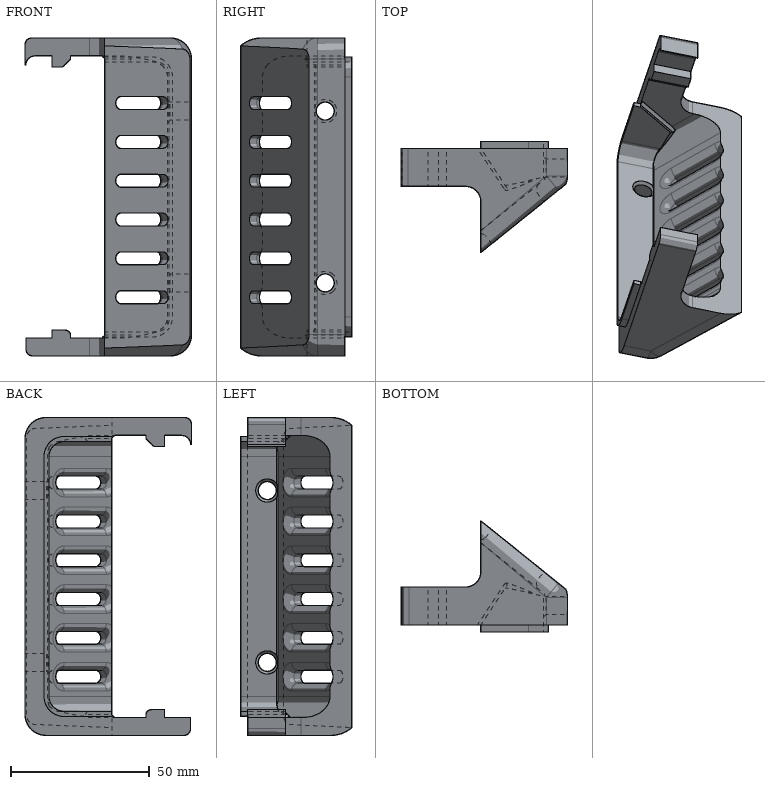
import cadquery as cq
import math

LENGTH = 60.0
HEIGHT = 114.5
WALL = 6.5
MARGIN = 11.5

ARM_DEPTH = 13.7
WEB_X = 28.8
ARM_ROOT_RADIUS = 5.5
ARM_TIP_RADIUS = 2.5
OUTER_RADIUS = 7.7
INNER_RADIUS = 7.6

SLOPE_TIP_Y = -39.7
SLOPE_ANGLE = 40.0
FLAT_TIP_Y = -37.6
FLAT_ANGLE = 38.8
POCKET_TIP_Y = -29.7

TIP_LIP = 0.3
TIP_LIP_RADIUS = 3.3
HOOK_START = 9.7
HOOK_END = 16.5
UPPER_HOOK = 4.0
UPPER_HOOK_CHAMFER = 2.9
LOWER_HOOK = 2.9
LOWER_HOOK_RADIUS = 2.1

LINER_PROUD = 2.5
LINER_GAP = 0.3
LINER_INSET = 2.2
LINER_KNEE_X = 37.6
LINER_KNEE_Y = -13.4
LINER_FRONT_Y = -10.4
LINER_FOOT = 1.0

SCREW_Y = -7.1
SCREW_Z = 30.9
SCREW_DIAMETER = 6.4
SCREW_SINK_DIAMETER = 8.4

SLOT_COUNT = 6
SLOT_PITCH = 14.0
SLOT_CENTER_Z = -1.1
SLOT_WIDTH = 4.6
SLOT_FIRST_X = 32.8
SLOT_LAST_X = 51.5
SLOT_ROUND = 2.9

TOP = HEIGHT / 2
INNER_TOP = TOP - WALL
INNER_X = LENGTH - WALL


def line_y(tip_y, angle, x):
    """Y at x of a plan line that crosses WEB_X at tip_y."""
    return tip_y + (x - WEB_X) * math.tan(math.radians(angle))


def along_slope(angle):
    """Selector for edges parallel to a plan line at the given angle."""
    radians = math.radians(angle)
    return cq.ParallelDirSelector(cq.Vector(math.cos(radians), math.sin(radians), 0))


def behind_line(tip_y, angle, x_start, x_end, y_back, half_height):
    """Prism holding everything from a slanted plan line back to y_back."""
    outline = [
        (x_start, line_y(tip_y, angle, x_start)),
        (x_end, line_y(tip_y, angle, x_end)),
        (x_end, y_back),
        (x_start, y_back),
    ]
    return cq.Workplane("XY").polyline(outline).close().extrude(half_height, both=True)


def end_rounded_block(x_start, x_end, half_height, radius, y_front, y_back):
    """Block along Y whose two +X edges are rounded."""
    return (
        cq.Workplane("XY")
        .box(x_end - x_start, y_back - y_front, 2 * half_height, centered=(False, False, True))
        .translate((x_start, y_front, 0))
        .edges("|Y and >X")
        .fillet(radius)
    )


def make_web():
    """Slanted web with the end wall and short floors, hollowed by the rounded pocket."""
    web = behind_line(SLOPE_TIP_Y, SLOPE_ANGLE, WEB_X, LENGTH, 0, TOP)
    slope_edges = web.edges(along_slope(SLOPE_ANGLE))
    end_edges = web.faces(">X").edges("|Y or <Y")
    web = slope_edges.add(end_edges).fillet(OUTER_RADIUS)
    web = web.intersect(behind_line(FLAT_TIP_Y, FLAT_ANGLE, 0, LENGTH + MARGIN, MARGIN, HEIGHT))

    pocket = behind_line(POCKET_TIP_Y, FLAT_ANGLE, WEB_X - MARGIN, LENGTH, MARGIN, INNER_TOP)
    pocket = pocket.edges(along_slope(FLAT_ANGLE)).fillet(INNER_RADIUS)
    pocket = pocket.intersect(
        end_rounded_block(WEB_X - MARGIN, INNER_X, INNER_TOP, INNER_RADIUS, SLOPE_TIP_Y, MARGIN)
    )
    return web.cut(pocket)


def make_upper_arm():
    """Upper arm with its tip lip and chamfered hook."""
    hook_z = INNER_TOP - UPPER_HOOK
    return (
        cq.Workplane("XZ")
        .moveTo(WEB_X, TOP)
        .lineTo(ARM_TIP_RADIUS, TOP)
        .radiusArc((0, TOP - ARM_TIP_RADIUS), -ARM_TIP_RADIUS)
        .lineTo(0, INNER_TOP - TIP_LIP_RADIUS)
        .lineTo(TIP_LIP, INNER_TOP - TIP_LIP_RADIUS)
        .radiusArc((TIP_LIP + TIP_LIP_RADIUS, INNER_TOP), TIP_LIP_RADIUS)
        .lineTo(HOOK_START, INNER_TOP)
        .lineTo(HOOK_START, hook_z)
        .lineTo(HOOK_END - UPPER_HOOK_CHAMFER, hook_z)
        .lineTo(HOOK_END, hook_z + UPPER_HOOK_CHAMFER)
        .lineTo(HOOK_END, INNER_TOP)
        .lineTo(WEB_X, INNER_TOP)
        .close()
        .extrude(ARM_DEPTH)
    )


def make_lower_arm():
    """Lower arm with its rounded hook; its tip has no lip."""
    hook_z = LOWER_HOOK - INNER_TOP
    return (
        cq.Workplane("XZ")
        .moveTo(WEB_X, -TOP)
        .lineTo(TIP_LIP + ARM_TIP_RADIUS, -TOP)
        .radiusArc((TIP_LIP, ARM_TIP_RADIUS - TOP), ARM_TIP_RADIUS)
        .lineTo(TIP_LIP, -INNER_TOP)
        .lineTo(HOOK_START, -INNER_TOP)
        .lineTo(HOOK_START, hook_z)
        .lineTo(HOOK_END - LOWER_HOOK_RADIUS, hook_z)
        .radiusArc((HOOK_END, hook_z - LOWER_HOOK_RADIUS), LOWER_HOOK_RADIUS)
        .lineTo(HOOK_END, -INNER_TOP)
        .lineTo(WEB_X, -INNER_TOP)
        .close()
        .extrude(ARM_DEPTH)
    )


def make_arm_root(z_bottom):
    """Concave fillet between the front of an arm and the free edge of the web."""
    return (
        cq.Workplane("XY", origin=(0, 0, z_bottom))
        .moveTo(WEB_X, -ARM_DEPTH)
        .lineTo(WEB_X - ARM_ROOT_RADIUS, -ARM_DEPTH)
        .radiusArc((WEB_X, -ARM_DEPTH - ARM_ROOT_RADIUS), ARM_ROOT_RADIUS)
        .close()
        .extrude(WALL)
    )


def tapered_prism(outline, spread):
    """Prism on the lower floor, spread outward at its base and tapering back at 45 degrees."""
    base = cq.Workplane("XY", origin=(0, 0, -INNER_TOP)).polyline(outline).close()
    return base.offset2D(spread, "intersection").extrude(spread, taper=45)


def make_liner_foot():
    """Chamfers at the lower floor: full depth along the front edge, low along the oblique edge."""
    back = [(INNER_X, LINER_PROUD), (WEB_X, LINER_PROUD), (WEB_X, 0)]
    front_edge = [(LINER_KNEE_X, LINER_KNEE_Y), (INNER_X, LINER_FRONT_Y)]

    knee_share = FLAT_TIP_Y / LINER_KNEE_Y
    far_x = WEB_X + knee_share * (LINER_KNEE_X - WEB_X)
    oblique = back + [(far_x, FLAT_TIP_Y), (far_x + LENGTH, FLAT_TIP_Y)]
    oblique_side = cq.Workplane("XY", origin=(0, 0, -INNER_TOP)).polyline(oblique).close()
    oblique_side = oblique_side.extrude(LINER_INSET).union(tapered_prism(oblique, LINER_FOOT))

    seat = end_rounded_block(WEB_X - MARGIN, INNER_X, INNER_TOP, INNER_RADIUS, SLOPE_TIP_Y, 0)
    return tapered_prism(back + front_edge, LINER_INSET).intersect(oblique_side).intersect(seat)


def make_liner():
    """U-shaped band lining the pocket, with chamfers along its front edges."""
    inner_x = INNER_X - LINER_INSET
    plan = [
        (WEB_X, LINER_PROUD),
        (WEB_X, 0),
        (LINER_KNEE_X, LINER_KNEE_Y),
        (inner_x, LINER_FRONT_Y),
        (INNER_X, LINER_FRONT_Y - LINER_INSET),
        (INNER_X, LINER_PROUD),
    ]
    seated = end_rounded_block(WEB_X, INNER_X, INNER_TOP, INNER_RADIUS, SLOPE_TIP_Y, 0)
    rim = end_rounded_block(
        WEB_X, INNER_X - LINER_GAP, INNER_TOP - LINER_GAP, INNER_RADIUS - LINER_GAP,
        LINER_FRONT_Y, LINER_PROUD,
    )
    opening = end_rounded_block(
        WEB_X - MARGIN, inner_x, INNER_TOP - LINER_INSET, INNER_RADIUS - LINER_INSET,
        SLOPE_TIP_Y, MARGIN,
    )
    foot = make_liner_foot()
    band = cq.Workplane("XY").polyline(plan).close().extrude(TOP, both=True)
    band = band.intersect(seated.union(rim)).union(foot).union(foot.mirror("XY"))
    return band.cut(opening)


def make_slot_cutter():
    """Cutter for one vent slot at Z = 0, flaring to a rounded mouth on the inner face."""
    angle = math.radians(FLAT_ANGLE)
    direction = cq.Vector(math.cos(angle), math.sin(angle), 0)
    depth = (POCKET_TIP_Y - FLAT_TIP_Y) * math.cos(angle)
    half = SLOT_WIDTH / 2
    end_inset = half * math.cos(angle)
    first_x = SLOT_FIRST_X + end_inset
    last_x = SLOT_LAST_X - end_inset
    length = (last_x - first_x) / math.cos(angle)
    first = cq.Vector(first_x, line_y(FLAT_TIP_Y, FLAT_ANGLE, first_x), 0)
    plane = cq.Plane(origin=first, xDir=(0, 0, -1), normal=direction)

    half_profile = (
        cq.Workplane(plane)
        .moveTo(0, -MARGIN)
        .lineTo(half, -MARGIN)
        .lineTo(half, depth - SLOT_ROUND)
        .radiusArc((half + SLOT_ROUND, depth), SLOT_ROUND)
        .lineTo(half + SLOT_ROUND, depth + MARGIN)
        .lineTo(0, depth + MARGIN)
        .close()
        .wire()
    )
    side = half_profile.toPending().extrude(length)
    end = half_profile.toPending().revolve(360, (0, 0, 0), (0, 1, 0))
    return side.union(side.mirror("XY")).union(end).union(end.translate(direction * length))


def make_screw_cutter(z):
    """Screw hole along X through the end wall, countersunk from inside."""
    liner_x = INNER_X - LINER_INSET
    sink_depth = (SCREW_SINK_DIAMETER - SCREW_DIAMETER) / 2
    start = cq.Workplane("YZ", origin=(liner_x, SCREW_Y, z))
    hole = start.circle(SCREW_DIAMETER / 2).extrude(MARGIN)
    sink = start.circle(SCREW_SINK_DIAMETER / 2).extrude(sink_depth, taper=45)
    return hole.union(sink)


frame = make_web()
slot_cutter = make_slot_cutter()
for index in range(SLOT_COUNT):
    slot_z = SLOT_CENTER_Z + (index - (SLOT_COUNT - 1) / 2) * SLOT_PITCH
    frame = frame.cut(slot_cutter.translate((0, 0, slot_z)))

frame = frame.union(make_upper_arm()).union(make_lower_arm())
frame = frame.union(make_arm_root(INNER_TOP)).union(make_arm_root(-TOP))
frame = frame.union(make_liner())

for screw_z in (-SCREW_Z, SCREW_Z):
    frame = frame.cut(make_screw_cutter(screw_z))

result = frame